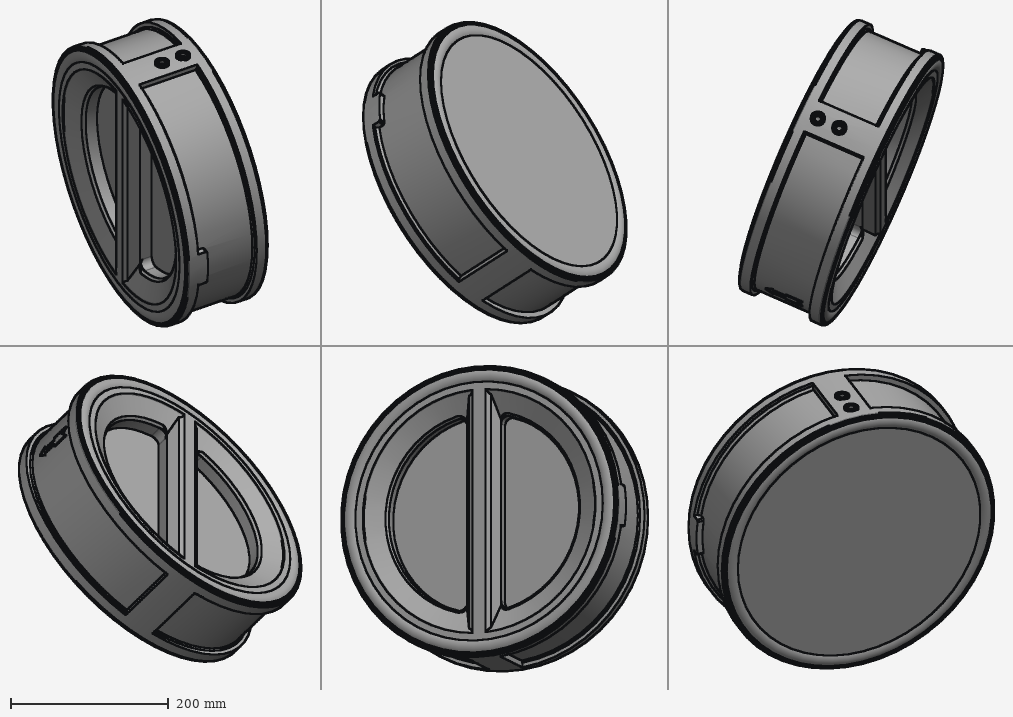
import cadquery as cq
import math

CLEARANCE = 3.8

BODY_RADIUS = 187.5
RIM_EDGE_Y = 57.0
RIM_CHAMFER_LENGTH = 2.2
RIM_CHAMFER_DEPTH = 0.8
FACE_Y = 58.5
FACE_RADIUS = 184.5
BEAD_OUTER_RADIUS = 182.2
BEAD_INNER_RADIUS = 167.0
BEAD_TOP_Y = 60.95

RELIEF_RADIUS = 179.2
RELIEF_HALF_LENGTH = 41.2
RELIEF_CUT_RADIUS = 206.2
BRIDGE_HALF_WIDTH = 22.5
BACK_CORNER_BEVEL = 2.2
FRONT_CORNER_BEVEL = 3.8
PAD_HALF_HEIGHT = 26.2
PAD_END_Y = -28.5
PAD_CHAMFER = 2.2

ARROW_HEIGHT = 1.0
ARROW_TIP_Y = 23.2
ARROW_HEAD_BASE_Y = 13.0
ARROW_TAIL_START_Y = -4.5
ARROW_NOTCH_Y = -21.0
ARROW_END_Y = -27.8
ARROW_HALF_WIDTH = 9.0
ARROW_SHAFT_HALF_WIDTH = 4.0

MOUTH_RADIUS = 156.0
MOUTH_CHAMFER = 1.0
FUNNEL_SLOPE_ANGLE = 27.0
SEAT_RADIUS = 131.2
THROAT_RADIUS = 128.2
SEAT_BEVEL_DEPTH = 4.5
FLOOR_DEPTH = 34.5
THROAT_CORNER_RADIUS = 9.5
BAR_HALF_WIDTH = 8.5
BAR_FOOT_HALF_WIDTH = 23.0
BAR_FOOT_DEPTH = 18.0
BAR_EDGE_WIDTH = 6.5
BAR_EDGE_DEPTH = 3.8
LEFT_EDGE_BULGE = 1.0
RIGHT_EDGE_BULGE = 0.55

PORT_Y_POSITIONS = (2.5, 32.5)
PORT_RADIUS = 9.0
PORT_RECESS_DEPTH = 1.5
PLUG_RADIUS = 7.0
SOCKET_RADIUS = 4.5
SOCKET_DEPTH = 5.5
DRILL_POINT_ANGLE = 118.0


def revolve_about_y(profile):
    """Turn a closed (radius, y) outline about the Y axis."""
    return profile.close().revolve(360, (0, 0, 0), (0, 1, 0))


def make_body():
    bead_middle = (BEAD_OUTER_RADIUS + BEAD_INNER_RADIUS) / 2
    rim_top = BODY_RADIUS - RIM_CHAMFER_DEPTH
    chamfer_y = RIM_EDGE_Y - RIM_CHAMFER_LENGTH
    profile = (
        cq.Workplane("XY")
        .moveTo(0, -FACE_Y)
        .lineTo(BEAD_INNER_RADIUS, -FACE_Y)
        .threePointArc((bead_middle, -BEAD_TOP_Y), (BEAD_OUTER_RADIUS, -FACE_Y))
        .lineTo(FACE_RADIUS, -FACE_Y)
        .lineTo(FACE_RADIUS, -RIM_EDGE_Y)
        .lineTo(rim_top, -RIM_EDGE_Y)
        .lineTo(BODY_RADIUS, -chamfer_y)
        .lineTo(BODY_RADIUS, chamfer_y)
        .lineTo(rim_top, RIM_EDGE_Y)
        .lineTo(FACE_RADIUS, RIM_EDGE_Y)
        .lineTo(FACE_RADIUS, FACE_Y)
        .lineTo(BEAD_OUTER_RADIUS, FACE_Y)
        .threePointArc((bead_middle, BEAD_TOP_Y), (BEAD_INNER_RADIUS, FACE_Y))
        .lineTo(0, FACE_Y)
    )
    return revolve_about_y(profile)


def make_relief(side, front_bevel):
    """Outer relief on one half (side = +1 or -1 along X), bevelled along its floor."""
    corners = [
        (RELIEF_RADIUS, front_bevel - RELIEF_HALF_LENGTH),
        (RELIEF_CUT_RADIUS, -RELIEF_HALF_LENGTH),
        (RELIEF_CUT_RADIUS, RELIEF_HALF_LENGTH),
        (RELIEF_RADIUS + BACK_CORNER_BEVEL, RELIEF_HALF_LENGTH),
        (RELIEF_RADIUS, RELIEF_HALF_LENGTH - BACK_CORNER_BEVEL),
    ]
    if front_bevel > 0:
        corners.insert(1, (RELIEF_RADIUS + front_bevel, -RELIEF_HALF_LENGTH))
    ring = revolve_about_y(cq.Workplane("XY").polyline(corners))
    half_space = (
        cq.Workplane("XY")
        .box(RELIEF_CUT_RADIUS, 2 * RELIEF_CUT_RADIUS, 2 * RELIEF_CUT_RADIUS)
        .translate((side * (BRIDGE_HALF_WIDTH + RELIEF_CUT_RADIUS / 2), 0, 0))
    )
    return ring.intersect(half_space)


def make_pad():
    """Pad standing on the relief floor against the front rim, flush with the body diameter."""
    pad_start_y = -RELIEF_HALF_LENGTH - CLEARANCE
    block = (
        cq.Workplane("XZ", origin=(0, pad_start_y, 0))
        .rect(2 * BODY_RADIUS, 2 * PAD_HALF_HEIGHT)
        .extrude(pad_start_y - PAD_END_Y)
        .faces(">Y")
        .edges("|X")
        .chamfer(PAD_CHAMFER)
    )
    shell = (
        cq.Workplane("XZ")
        .circle(BODY_RADIUS)
        .circle(RELIEF_RADIUS - CLEARANCE)
        .extrude(RELIEF_HALF_LENGTH + CLEARANCE)
    )
    positive_x = cq.Workplane("XY").box(BODY_RADIUS, BODY_RADIUS, BODY_RADIUS)
    return block.intersect(shell).intersect(positive_x.translate((BODY_RADIUS / 2, 0, 0)))


def make_arrow():
    half_outline = [
        (ARROW_HEAD_BASE_Y, ARROW_HALF_WIDTH),
        (ARROW_HEAD_BASE_Y, ARROW_SHAFT_HALF_WIDTH),
        (ARROW_TAIL_START_Y, ARROW_SHAFT_HALF_WIDTH),
        (ARROW_TAIL_START_Y, ARROW_HALF_WIDTH),
        (ARROW_END_Y, ARROW_HALF_WIDTH),
    ]
    mirrored = [(y, -z) for y, z in reversed(half_outline)]
    outline = [(ARROW_TIP_Y, 0)] + half_outline + [(ARROW_NOTCH_Y, 0)] + mirrored
    prism = cq.Workplane("YZ").polyline(outline).close().extrude(-BODY_RADIUS)
    shell = (
        cq.Workplane("XZ")
        .circle(RELIEF_RADIUS + ARROW_HEIGHT)
        .circle(RELIEF_RADIUS - CLEARANCE)
        .extrude(RELIEF_HALF_LENGTH, both=True)
    )
    return prism.intersect(shell)


def make_funnel():
    """Chamfered mouth and cone, run down to its tip or the floor."""
    slope = math.tan(math.radians(FUNNEL_SLOPE_ANGLE))
    end_radius = MOUTH_RADIUS - (FLOOR_DEPTH - MOUTH_CHAMFER) / slope
    profile = (
        cq.Workplane("XY")
        .moveTo(0, -FACE_Y)
        .lineTo(MOUTH_RADIUS + MOUTH_CHAMFER, -FACE_Y)
        .lineTo(MOUTH_RADIUS, -FACE_Y + MOUTH_CHAMFER)
        .lineTo(end_radius, -FACE_Y + FLOOR_DEPTH)
        .lineTo(0, -FACE_Y + FLOOR_DEPTH)
    )
    return revolve_about_y(profile)


def make_flank_limit(edge_bulge):
    """Space beside the centre bar: rounded edge, sloping flank, upright foot."""
    front_y = -FACE_Y - CLEARANCE
    back_y = -FACE_Y + FLOOR_DEPTH + CLEARANCE
    edge_end = (BAR_HALF_WIDTH + BAR_EDGE_WIDTH, -FACE_Y + BAR_EDGE_DEPTH)
    return (
        cq.Workplane("XY")
        .moveTo(BAR_HALF_WIDTH, front_y)
        .lineTo(BAR_HALF_WIDTH, -FACE_Y)
        .sagittaArc(edge_end, edge_bulge)
        .lineTo(BAR_FOOT_HALF_WIDTH, -FACE_Y + BAR_FOOT_DEPTH)
        .lineTo(BAR_FOOT_HALF_WIDTH, back_y)
        .lineTo(BODY_RADIUS, back_y)
        .lineTo(BODY_RADIUS, front_y)
        .close()
        .extrude(BODY_RADIUS, both=True)
    )


def make_half_moon(radius, depth):
    """Prism with a half-moon outline on the +X side, corners rounded, sunk from the face."""
    foot_x = BAR_FOOT_HALF_WIDTH
    tip_z = math.sqrt(radius**2 - foot_x**2)
    return (
        cq.Workplane("XZ", origin=(0, -FACE_Y, 0))
        .moveTo(foot_x, -tip_z)
        .threePointArc((radius, 0), (foot_x, tip_z))
        .close()
        .extrude(-depth)
        .edges("|Y")
        .fillet(THROAT_CORNER_RADIUS)
    )


def make_seat():
    """Bevel between the funnel and the throat, ending at the bar."""
    slope = math.tan(math.radians(FUNNEL_SLOPE_ANGLE))
    start_depth = MOUTH_CHAMFER + (MOUTH_RADIUS - SEAT_RADIUS) * slope
    end_depth = start_depth + SEAT_BEVEL_DEPTH
    bevel = revolve_about_y(
        cq.Workplane("XY")
        .moveTo(0, -FACE_Y)
        .lineTo(SEAT_RADIUS, -FACE_Y)
        .lineTo(SEAT_RADIUS, -FACE_Y + start_depth)
        .lineTo(THROAT_RADIUS, -FACE_Y + end_depth)
        .lineTo(0, -FACE_Y + end_depth)
    )
    return bevel.intersect(make_half_moon(SEAT_RADIUS, end_depth))


def make_opening(edge_bulge):
    """An opening on the +X side: funnel beside the bar, seat bevel and throat."""
    funnel = make_funnel().intersect(make_flank_limit(edge_bulge))
    throat = make_half_moon(THROAT_RADIUS, FLOOR_DEPTH)
    return funnel.union(make_seat()).union(throat)


def make_port(y):
    """Ring groove around a plug, with a drilled socket in the plug."""
    top = cq.Workplane("XY", origin=(0, y, BODY_RADIUS))
    ring = top.circle(PORT_RADIUS).circle(PLUG_RADIUS).extrude(-PORT_RECESS_DEPTH)
    point_depth = SOCKET_RADIUS / math.tan(math.radians(DRILL_POINT_ANGLE / 2))
    socket = (
        cq.Workplane("YZ")
        .lineTo(0, -SOCKET_DEPTH - point_depth)
        .lineTo(SOCKET_RADIUS, -SOCKET_DEPTH)
        .lineTo(SOCKET_RADIUS, 0)
        .close()
        .revolve(360, (0, 0, 0), (0, 1, 0))
        .translate((0, y, BODY_RADIUS))
    )
    return ring.union(socket)


result = make_body()
result = result.cut(make_relief(1, FRONT_CORNER_BEVEL))
result = result.cut(make_relief(-1, 0))
result = result.union(make_pad()).union(make_arrow())

result = result.cut(make_opening(RIGHT_EDGE_BULGE))
result = result.cut(make_opening(LEFT_EDGE_BULGE).mirror("YZ"))

for port_y in PORT_Y_POSITIONS:
    result = result.cut(make_port(port_y))